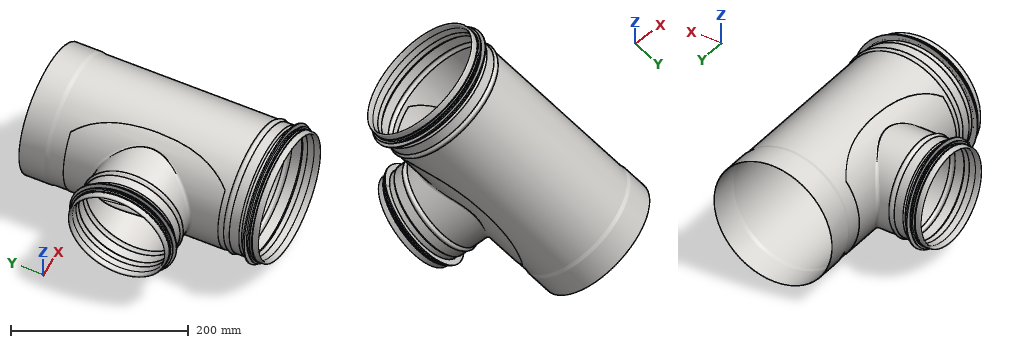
import cadquery as cq


WALL = 0.5
MAIN_BORE_R = 76.5
MAIN_TUBE_R = 79.48
MAIN_MOUTH = 147.5
BRANCH_BORE_R = 59.2
BRANCH_TUBE_R = 61.45
BRANCH_MOUTH = 138.5

SOCKET_END = 153.0
SOCKET_LENGTH = 32.5
SOCKET_TAPER = 4.8
SOCKET_R = MAIN_TUBE_R + 2 * WALL

HEM_LENGTH = 7.8
HEM_DEPTH = 2.85
HEM_ROUND = HEM_DEPTH / 2
SHOULDER = 24.0
BEAD = 39.7
BEAD_HEIGHT = 1.95
BEAD_FLANK = 1.5
BEAD_CREST = 1.2
BEAD_FOOT = 3.5
SPIGOT_LENGTH = BEAD + BEAD_FOOT

SEAL_SEAT_HEIGHT = 2 * WALL
SEAL_WEB_HEIGHT = 2.55
SEAL_FOOT_HEIGHT = HEM_DEPTH + WALL
SHORT_LIP = 10.0
SHORT_LIP_WIDTH = 1.5
SHORT_LIP_HEIGHT = 5.55
LONG_LIP = 14.5
LONG_LIP_WIDTH = 1.5
LONG_LIP_HEIGHT = 8.0
SEAL_END = LONG_LIP + LONG_LIP_WIDTH

SADDLE_R = MAIN_TUBE_R + WALL
SADDLE_HALF_LENGTH = 97.5
SADDLE_EDGE_MIDDLE = 34.5
SADDLE_EDGE_SHOULDER = 44.5
SADDLE_EDGE_END = 61.45
SADDLE_SHOULDER = 65.0
COLLAR_FILLET = 3.5


def revolve_about_y(profile):
    """Close a (radius, y) profile and turn it fully around the Y axis."""
    return profile.close().revolve(360, (0, 0, 0), (0, 1, 0))


def to_branch(shape):
    """Turn a shape whose mouth points to -Y so that it points to -X."""
    return shape.rotate((0, 0, 0), (0, 0, 1), -90)


def bead(path, tube_r, direction):
    """Continue a profile over the stop bead, towards +Y (direction 1) or -Y (direction -1)."""
    foot = direction * BEAD_FOOT
    crest = direction * BEAD_CREST
    flank_r = tube_r + BEAD_FLANK
    path = path.lineTo(tube_r, BEAD - foot).lineTo(flank_r, BEAD - crest)
    path = path.threePointArc((tube_r + BEAD_HEIGHT, BEAD), (flank_r, BEAD + crest))
    return path.lineTo(tube_r, BEAD + foot)


def spigot(bore_r, tube_r, mouth):
    """Spigot along Y with its mouth at y = -mouth: hem, neck, shoulder and stop bead."""
    neck_r = bore_r + WALL
    seat_r = bore_r + SEAL_SEAT_HEIGHT
    hem_r = bore_r + HEM_DEPTH
    inner_tube_r = tube_r - WALL
    shoulder_start = SHOULDER - (tube_r - neck_r)

    path = cq.Workplane("XY").moveTo(bore_r, HEM_ROUND)
    path = path.threePointArc((bore_r + HEM_ROUND, 0), (hem_r, HEM_ROUND))
    path = path.lineTo(hem_r, HEM_LENGTH - HEM_ROUND)
    path = path.tangentArcPoint((hem_r - HEM_ROUND, HEM_LENGTH), relative=False)
    path = path.lineTo(seat_r, HEM_LENGTH).lineTo(seat_r, SEAL_END).lineTo(neck_r, SEAL_END)
    path = path.lineTo(neck_r, shoulder_start).lineTo(tube_r, SHOULDER)
    path = bead(path, tube_r, 1)
    path = bead(path, inner_tube_r, -1)
    path = path.lineTo(inner_tube_r, SHOULDER).lineTo(bore_r, shoulder_start)
    return revolve_about_y(path).translate((0, -mouth, 0))


def seal(bore_r, mouth):
    """Rubber ring in the neck behind the hem, with one short and one long lip."""
    seat_r = bore_r + SEAL_SEAT_HEIGHT
    web_r = bore_r + SEAL_WEB_HEIGHT
    foot_r = bore_r + SEAL_FOOT_HEIGHT
    short_lip_r = bore_r + SHORT_LIP_HEIGHT
    long_lip_r = bore_r + LONG_LIP_HEIGHT
    short_lip_end = SHORT_LIP + SHORT_LIP_WIDTH
    profile = cq.Workplane("XY").polyline(
        [
            (seat_r, HEM_LENGTH),
            (foot_r, HEM_LENGTH),
            (foot_r, SHORT_LIP),
            (short_lip_r, SHORT_LIP),
            (short_lip_r, short_lip_end),
            (web_r, short_lip_end),
            (web_r, LONG_LIP),
            (long_lip_r, LONG_LIP),
            (long_lip_r, SEAL_END),
            (seat_r, SEAL_END),
        ]
    )
    return revolve_about_y(profile).translate((0, -mouth, 0))


def main_rod(radius):
    """Solid cylinder on the main axis, as long as the saddle plate."""
    return cq.Workplane("XZ").circle(radius).extrude(SADDLE_HALF_LENGTH, both=True)


def branch_rod(radius):
    """Solid cylinder on the branch axis, from the main axis to the back of the branch spigot."""
    length = BRANCH_MOUTH - SPIGOT_LENGTH
    return to_branch(cq.Workplane("XZ").circle(radius).extrude(length))


def main_pipe():
    """Straight pipe with a spigot at -Y, a socket at +Y and the opening for the branch."""
    taper_start = SOCKET_END - SOCKET_LENGTH
    outside = [
        (MAIN_TUBE_R, SPIGOT_LENGTH - MAIN_MOUTH),
        (MAIN_TUBE_R, taper_start - SOCKET_TAPER),
        (SOCKET_R, taper_start),
        (SOCKET_R, SOCKET_END),
    ]
    inside = [(r - WALL, y) for r, y in reversed(outside)]
    tube = revolve_about_y(cq.Workplane("XY").polyline(outside + inside))
    pipe = tube.union(spigot(MAIN_BORE_R, MAIN_TUBE_R, MAIN_MOUTH))
    return pipe.cut(branch_rod(BRANCH_TUBE_R - WALL))


def saddle_block():
    """Part of the rod of the saddle's outer radius that lies under the plate's outline."""
    long_edge = [
        (-SADDLE_EDGE_SHOULDER, -SADDLE_SHOULDER),
        (-SADDLE_EDGE_MIDDLE, 0),
        (-SADDLE_EDGE_SHOULDER, SADDLE_SHOULDER),
        (-SADDLE_EDGE_END, SADDLE_HALF_LENGTH),
    ]
    clear_of_rod = -2 * SADDLE_R
    outline = (
        cq.Workplane("XY")
        .moveTo(-SADDLE_EDGE_END, -SADDLE_HALF_LENGTH)
        .spline(long_edge, includeCurrent=True)
        .lineTo(clear_of_rod, SADDLE_HALF_LENGTH)
        .lineTo(clear_of_rod, -SADDLE_HALF_LENGTH)
        .close()
        .extrude(SADDLE_R, both=True)
    )
    return main_rod(SADDLE_R).intersect(outline)


def branch_pipe():
    """Branch spigot with the saddle plate that lies on the main pipe."""
    block = saddle_block().union(branch_rod(BRANCH_TUBE_R))
    around_joint = cq.selectors.BoxSelector(
        (-SADDLE_R - WALL, -BRANCH_TUBE_R - WALL, -BRANCH_TUBE_R - WALL),
        (-SADDLE_EDGE_MIDDLE, BRANCH_TUBE_R + WALL, BRANCH_TUBE_R + WALL),
        boundingbox=True,
    )
    block = block.edges(around_joint).fillet(COLLAR_FILLET)
    plate = block.cut(main_rod(MAIN_TUBE_R)).cut(branch_rod(BRANCH_TUBE_R - WALL))
    return plate.union(to_branch(spigot(BRANCH_BORE_R, BRANCH_TUBE_R, BRANCH_MOUTH)))


main = main_pipe()
branch = branch_pipe()
main_seal = seal(MAIN_BORE_R, MAIN_MOUTH)
branch_seal = to_branch(seal(BRANCH_BORE_R, BRANCH_MOUTH))

bodies = [main, branch, main_seal, branch_seal]
result = cq.Compound.makeCompound([body.solids().val() for body in bodies])